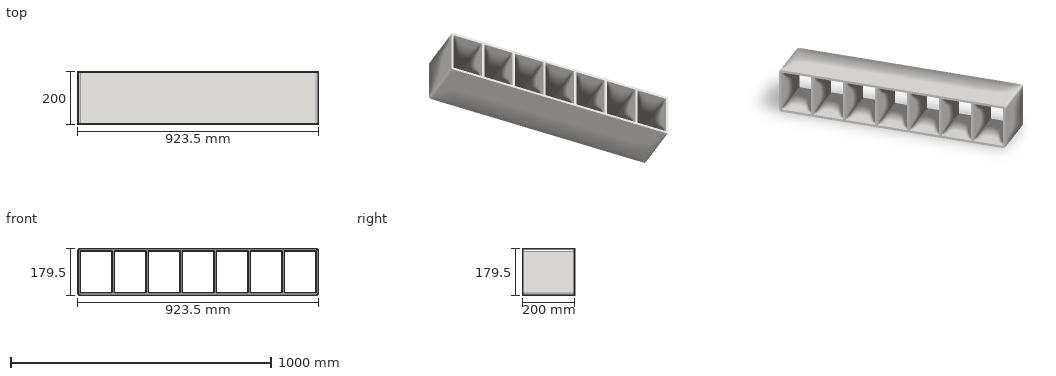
import cadquery as cq

compartment_count = 7
compartment_width = 120.5
compartment_height = 159.5
wall = 10.0
depth = 200.0
corner_radius = 10.0

pitch = compartment_width + wall
outer_width = compartment_count * pitch + wall
outer_height = compartment_height + 2 * wall


def make_body():
    """Solid block with its four long outer corners rounded."""
    block = cq.Workplane("XY").box(outer_width, depth, outer_height)
    return block.edges("|Y").fillet(corner_radius)


def cut_compartments(body):
    """Row of equal rectangular openings running right through the depth."""
    openings = (
        cq.Workplane("XZ")
        .rarray(pitch, 1, compartment_count, 1)
        .rect(compartment_width, compartment_height)
        .extrude(depth / 2, both=True)
    )
    return body.cut(openings)


result = cut_compartments(make_body())